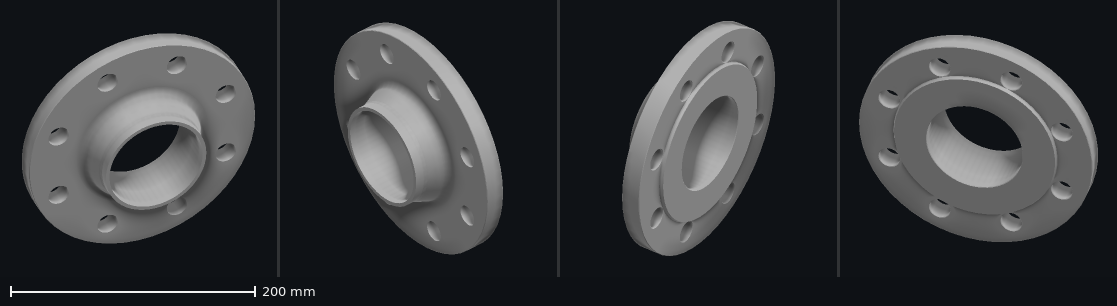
import cadquery as cq
import math


flange_radius = 200 / 2
flange_back_x = 20

raised_face_height = 3
raised_face_radius = 138 / 2
raised_face_flare_angle = 24
raised_face_base_radius = raised_face_radius + raised_face_height * math.tan(
    math.radians(raised_face_flare_angle)
)

overall_length = 50
weld_end_radius = 88.9 / 2
weld_end_length = 10
neck_base_radius = 105 / 2
neck_blend_radius = 8
taper_end_x = overall_length - weld_end_length

bore_radius = 82.5 / 2
bolt_hole_radius = 18 / 2
bolt_circle_radius = 160 / 2
bolt_count = 8

selection_margin = 0.1

edge_chamfer = 0.5


def turn_about_x(half_profile):
    """Solid of revolution from (x, radius) points."""
    return cq.Workplane("XY").polyline(half_profile).close().revolve(360, (0, 0, 0), (1, 0, 0))


def make_flange_plate():
    """Disc with chamfered rims, behind the raised face."""
    thickness = flange_back_x - raised_face_height
    return (
        cq.Workplane("YZ", origin=(raised_face_height, 0, 0))
        .circle(flange_radius)
        .extrude(thickness)
        .edges("%CIRCLE")
        .chamfer(edge_chamfer)
    )


def make_raised_face_and_neck():
    """Turned core: conical raised face, tapered neck and welding end."""
    half_profile = [
        (0, 0),
        (0, raised_face_radius),
        (raised_face_height, raised_face_base_radius),
        (flange_back_x, raised_face_base_radius),
        (flange_back_x, neck_base_radius),
        (taper_end_x, weld_end_radius),
        (overall_length, weld_end_radius),
        (overall_length, 0),
    ]
    core = turn_about_x(half_profile)
    return blend_neck(core)


def blend_neck(body):
    """Round the circles where the taper meets the plate and the welding end."""
    for x, radius in ((flange_back_x, neck_base_radius), (taper_end_x, weld_end_radius)):
        zone = cq.selectors.BoxSelector(
            (x - selection_margin, -radius - selection_margin, -radius - selection_margin),
            (x + selection_margin, radius + selection_margin, radius + selection_margin),
            boundingbox=True,
        )
        body = body.edges(zone).fillet(neck_blend_radius)
    return body


def make_hole_tool(radius, entry_x, exit_x):
    """Solid of a through hole along X, with a chamfered mouth at entry_x."""
    half_profile = [
        (entry_x, 0),
        (entry_x, radius + edge_chamfer),
        (entry_x + edge_chamfer, radius),
        (exit_x, radius),
        (exit_x, 0),
    ]
    return turn_about_x(half_profile)


def cut_bore(body):
    return body.cut(make_hole_tool(bore_radius, 0, overall_length))


def cut_bolt_holes(body):
    """Evenly spaced through holes straddling the Y and Z axes."""
    pitch_angle = 360 / bolt_count
    hole = make_hole_tool(bolt_hole_radius, raised_face_height, flange_back_x)
    hole = hole.translate((0, bolt_circle_radius, 0))
    for index in range(bolt_count):
        angle = (index + 0.5) * pitch_angle
        body = body.cut(hole.rotate((0, 0, 0), (1, 0, 0), angle))
    return body


flange = make_flange_plate().union(make_raised_face_and_neck())
flange = cut_bore(flange)
result = cut_bolt_holes(flange)